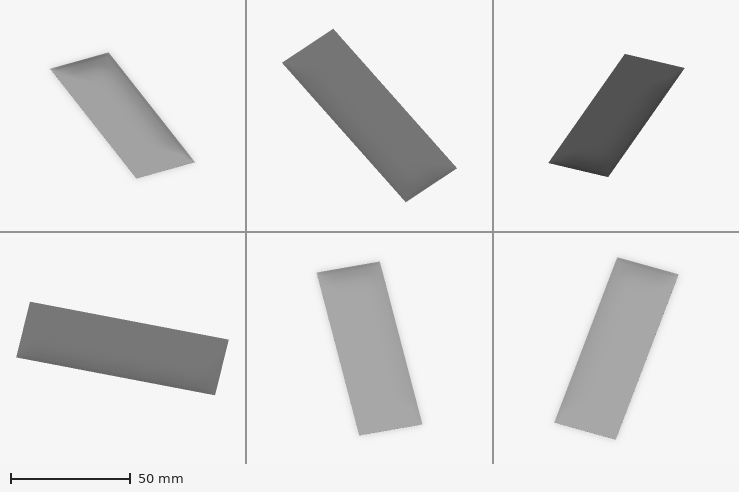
import cadquery as cq

length = 85.0
width = 27.0
thickness = 0.05

result = cq.Workplane("XY").box(length, width, thickness)